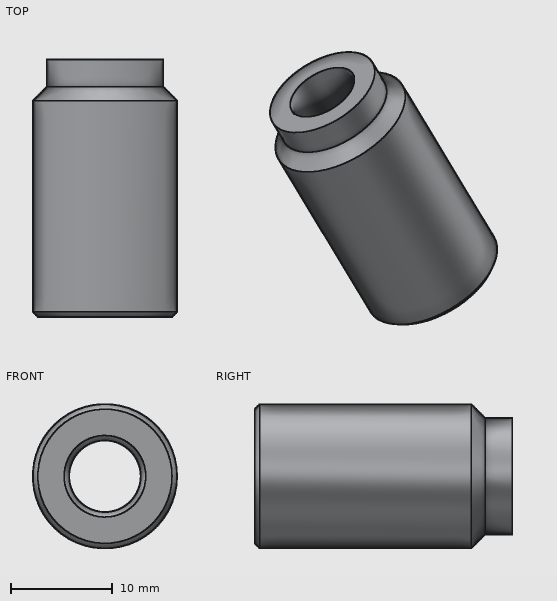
import cadquery as cq

length = 25.3
body_diameter = 14.2
neck_diameter = 11.45
neck_length = 2.68
bore_diameter = 7.0
edge_chamfer = 0.5

body_radius = body_diameter / 2
neck_radius = neck_diameter / 2
bore_radius = bore_diameter / 2

front_y = -length / 2
back_y = length / 2
chamfer_end_y = front_y + edge_chamfer
neck_start_y = back_y - neck_length
shoulder_start_y = neck_start_y - (body_radius - neck_radius)

result = (
    cq.Workplane("XY")
    .moveTo(bore_radius + edge_chamfer, front_y)
    .lineTo(body_radius - edge_chamfer, front_y)
    .lineTo(body_radius, chamfer_end_y)
    .lineTo(body_radius, shoulder_start_y)
    .lineTo(neck_radius, neck_start_y)
    .lineTo(neck_radius, back_y)
    .lineTo(bore_radius, back_y)
    .lineTo(bore_radius, chamfer_end_y)
    .close()
    .revolve(360, (0, 0, 0), (0, 1, 0))
)